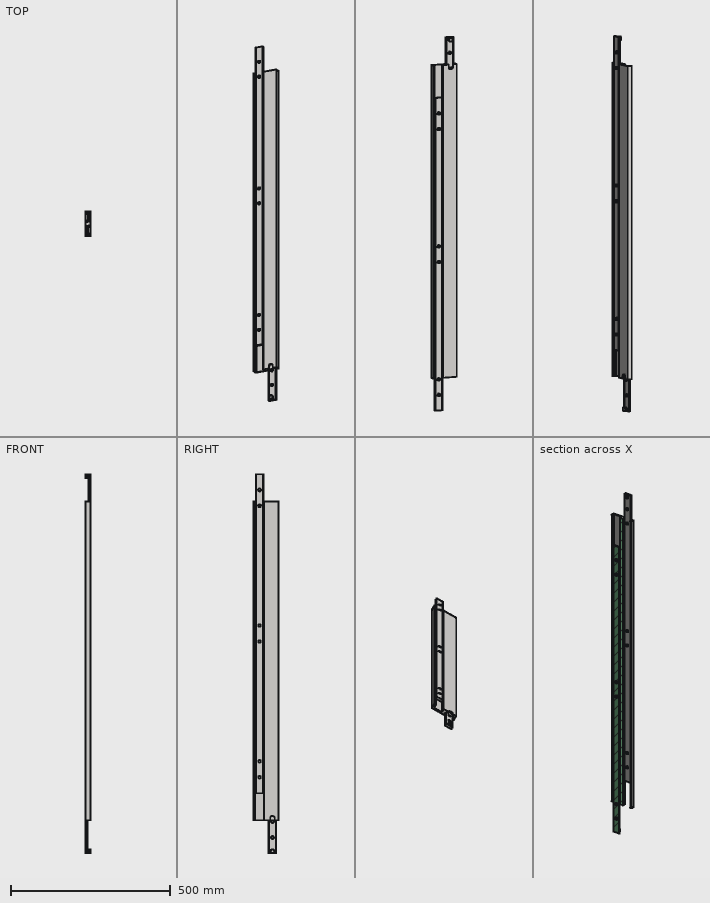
import cadquery as cq

total_height = 1189.0
depth = 17.0
width = 80.0
rail_length = 1000.0
top_extension = 85.0

web = 5.0
flange = 6.0
middle_wall = 13.0

slider_depth = 7.7
side_clearance = 1.0
track_width = 4.0
track_depth = 1.8

hole_diameter = 8.0
hole_pitch = 50.0

pin_head_diameter = 13.0
pin_neck_diameter = 11.0
pin_head_thickness = 4.2
notch_width = 14.0
notch_depth = 14.0

bottom_extension = total_height - rail_length - top_extension
half_depth = depth / 2
half_rail = rail_length / 2
channel_inner = middle_wall / 2
channel_outer = width / 2 - flange
channel_center = (channel_inner + channel_outer) / 2
channel_width = channel_outer - channel_inner
slider_width = channel_width - 2 * side_clearance
slider_back = half_depth - slider_depth


def opposite(body):
    """Mirror a body through the housing center, which reverses X, Y and Z."""
    return body.rotate((0, 0, 0), (0, 1, 0), 180).mirror("XZ")


def tracked_bar(bar_width, track_offset, bottom, top):
    """Upright bar of slider depth at the +X face, with a track along the middle of both sides.

    The sides step outward along the track for a positive track_offset, inward for a negative one.
    """
    half = bar_width / 2
    track_side = half + track_offset
    track_back = slider_back + (slider_depth - track_width) / 2
    track_front = track_back + track_width
    return (
        cq.Workplane("XY", origin=(0, -channel_center, bottom))
        .polyline(
            [
                (slider_back, -half),
                (track_back, -half),
                (track_back, -track_side),
                (track_front, -track_side),
                (track_front, -half),
                (half_depth, -half),
                (half_depth, half),
                (track_front, half),
                (track_front, track_side),
                (track_back, track_side),
                (track_back, half),
                (slider_back, half),
            ]
        )
        .close()
        .extrude(top - bottom)
    )


def cylinder_along_x(diameter, x_start, x_end, height):
    """Cylinder along X on the slider center line."""
    return (
        cq.Workplane("YZ", origin=(x_start, -channel_center, height))
        .circle(diameter / 2)
        .extrude(x_end - x_start)
    )


def pin_notch():
    """Cutter for the round-bottomed notch at the top of a web."""
    radius = notch_width / 2
    arc_height = radius - notch_depth
    return (
        cq.Workplane("YZ", origin=(-half_depth, -channel_center, half_rail))
        .moveTo(-radius, 0)
        .lineTo(-radius, arc_height)
        .threePointArc((0, -notch_depth), (radius, arc_height))
        .lineTo(radius, 0)
        .close()
        .extrude(web)
    )


def make_housing():
    """S-shaped profile: one channel opens toward +X and the other toward -X."""
    body = cq.Workplane("XY").box(depth, width, rail_length)
    mouth = tracked_bar(channel_width, track_depth, -half_rail, half_rail)
    space_depth = depth - slider_depth - web
    space_center = (slider_back - space_depth / 2, -channel_center, 0)
    space_behind_slider = cq.Workplane("XY", origin=space_center).box(space_depth, channel_width, rail_length)
    for cutter in (mouth, space_behind_slider, pin_notch()):
        body = body.cut(cutter).cut(opposite(cutter))
    return body


def make_upper_slider():
    """Bar with three pairs of holes and a headed stop pin at its top."""
    top = half_rail + top_extension
    bottom = top - rail_length
    bar = tracked_bar(slider_width, -track_depth, bottom, top)

    middle = (top + bottom) / 2
    pair_centers = (bottom + 1.5 * hole_pitch, middle, top - 1.5 * hole_pitch)
    for pair_center in pair_centers:
        for side in (-1, 1):
            height = pair_center + side * hole_pitch / 2
            bar = bar.cut(cylinder_along_x(hole_diameter, slider_back, half_depth, height))

    pin_height = top - pin_head_diameter / 2
    head_end = -half_depth + pin_head_thickness
    head = cylinder_along_x(pin_head_diameter, -half_depth, head_end, pin_height)
    neck = cylinder_along_x(pin_neck_diameter, head_end, half_depth, pin_height)
    return bar.union(neck).union(head)


def make_lower_slider():
    """The upper slider mirrored into the other channel and lowered to its own extension."""
    return opposite(make_upper_slider()).translate((0, 0, top_extension - bottom_extension))


housing = make_housing()
upper_slider = make_upper_slider()
lower_slider = make_lower_slider()

result = cq.Compound.makeCompound([housing.val(), upper_slider.val(), lower_slider.val()])